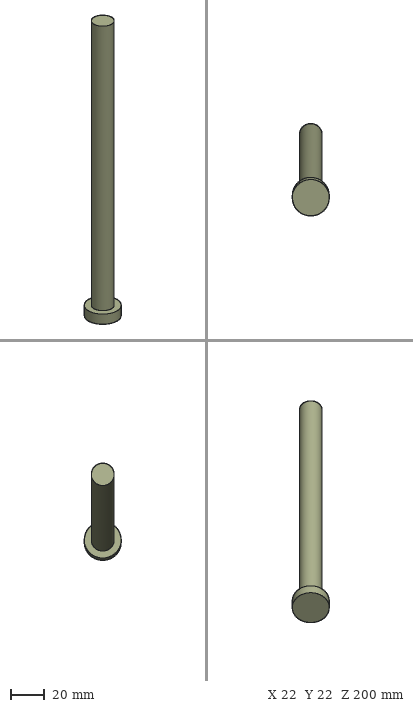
import cadquery as cq

total_length = 200.0
head_diameter = 22.0
head_thickness = 7.0
shaft_diameter = 13.5

head = cq.Workplane("XY").circle(head_diameter / 2).extrude(head_thickness)
shaft = cq.Workplane("XY").circle(shaft_diameter / 2).extrude(total_length)

result = head.union(shaft)